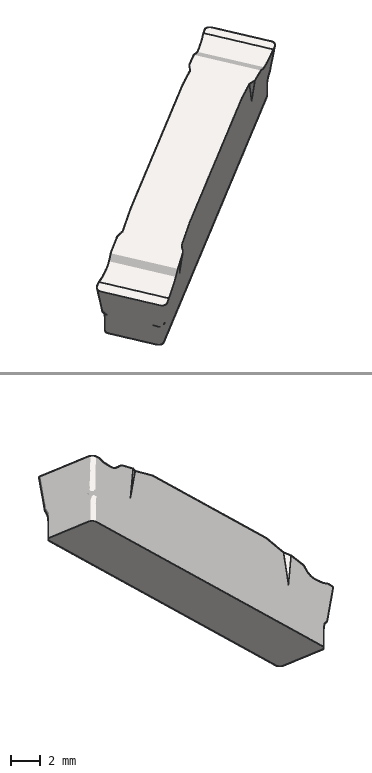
import cadquery as cq
import math

LENGTH = 25.15
HALF_LENGTH = LENGTH / 2
HEIGHT = 5.96
BODY_WIDTH = 4.2
INSERT_WIDTH = 5.0
CORNER_RADIUS = 0.38

EDGE_HEIGHT = 4.68
FLANK_DEPTH = 0.25
FLANK_BOTTOM = 2.26
BODY_SETBACK = 0.5
STEP_BOTTOM = 1.74
BODY_END = HALF_LENGTH - BODY_SETBACK

LAND_WIDTH = 0.58
LAND_HEIGHT = 4.73
ROUND_END = 0.73
FALL_END = 1.03
FLOOR_START = 1.4
FLOOR_END = 1.94
FLOOR_HEIGHT = 4.617
FALL_ANGLE = math.radians(15)
RISE_END = 2.97
RISE_HEIGHT = 5.05
RAMP_START = 3.27
RAMP_START_HEIGHT = 5.23
RAMP_END = 6.7

SIDE_DRAFT = math.radians(6.3)
SIDE_RELIEF = math.radians(3.5)
RUNOUT_ANGLE = math.radians(26.5)
RUNOUT_START = 4.4
HEAD_LENGTH = 5.03

CORNER_RISE = CORNER_RADIUS * (LAND_HEIGHT - EDGE_HEIGHT) / LAND_WIDTH
EDGE_WIDTH = INSERT_WIDTH + 2 * (CORNER_RADIUS * math.tan(SIDE_RELIEF) - CORNER_RISE * math.tan(SIDE_DRAFT))


def along_y(depth):
    """Y position at a distance in from the -Y cutting edge."""
    return depth - HALF_LENGTH


def half_profile():
    """Lengthwise YZ outline from the -Y end to mid-length, extruded across the head width."""
    fall_height = FLOOR_HEIGHT + (FLOOR_START - FALL_END) * math.tan(FALL_ANGLE / 2)
    round_height = fall_height + (FALL_END - ROUND_END) * math.tan(FALL_ANGLE)
    return (
        cq.Workplane("YZ")
        .moveTo(0, 0)
        .lineTo(-BODY_END, 0)
        .lineTo(-BODY_END, STEP_BOTTOM)
        .spline(
            [(along_y(FLANK_DEPTH), FLANK_BOTTOM)],
            tangents=[(0, 1), (-FLANK_DEPTH, EDGE_HEIGHT - FLANK_BOTTOM)],
            includeCurrent=True,
        )
        .lineTo(along_y(0), EDGE_HEIGHT)
        .lineTo(along_y(LAND_WIDTH), LAND_HEIGHT)
        .tangentArcPoint((along_y(ROUND_END), round_height), relative=False)
        .lineTo(along_y(FALL_END), fall_height)
        .tangentArcPoint((along_y(FLOOR_START), FLOOR_HEIGHT), relative=False)
        .lineTo(along_y(FLOOR_END), FLOOR_HEIGHT)
        .tangentArcPoint((along_y(RISE_END), RISE_HEIGHT), relative=False)
        .tangentArcPoint((along_y(RAMP_START), RAMP_START_HEIGHT), relative=False)
        .lineTo(along_y(RAMP_END), HEIGHT)
        .lineTo(0, HEIGHT)
        .close()
        .extrude(EDGE_WIDTH, both=True)
    )


def head_plan(height):
    """Plan outline of the -Y head at a given height, widening upward with the side draft."""
    edge = EDGE_WIDTH / 2 + (height - EDGE_HEIGHT) * math.tan(SIDE_DRAFT)
    waist = edge - RUNOUT_START * math.tan(SIDE_RELIEF)
    back = waist - (HEAD_LENGTH - RUNOUT_START) * math.tan(RUNOUT_ANGLE)
    right_side = [
        (edge, along_y(0)),
        (waist, along_y(RUNOUT_START)),
        (back, along_y(HEAD_LENGTH)),
    ]
    left_side = [(-x, y) for x, y in reversed(right_side)]
    points = [cq.Vector(x, y, height) for x, y in right_side + left_side]
    return cq.Wire.makePolygon(points, close=True)


def cutting_head(profile):
    """The -Y head: drafted sides trimmed to the profile, with rounded end corners."""
    sides = cq.Workplane(cq.Solid.makeLoft([head_plan(0), head_plan(HEIGHT)], True))
    head = sides.intersect(profile)
    end_zone = cq.selectors.BoxSelector(
        (-EDGE_WIDTH, along_y(-0.25), 0.03),
        (EDGE_WIDTH, along_y(BODY_SETBACK + 0.03), EDGE_HEIGHT - 0.03),
    )
    corners = head.edges(end_zone).edges("not(|X)")
    return corners.fillet(CORNER_RADIUS)


def half_body(profile):
    """The -Y half of the slim body, with rounded end corners."""
    block = (
        cq.Workplane("XY")
        .box(BODY_WIDTH, 2 * BODY_END, HEIGHT, centered=(True, True, False))
        .edges("|Z")
        .fillet(CORNER_RADIUS)
    )
    return block.intersect(profile)


profile = half_profile()
half = half_body(profile).union(cutting_head(profile))
result = half.union(half.mirror("XZ")).clean()